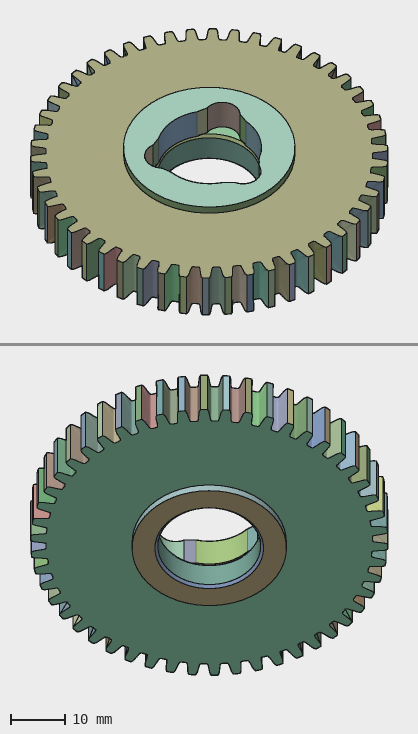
import cadquery as cq
import math

TOOTH_COUNT = 50
TIP_RADIUS = 33.0
PRESSURE_ANGLE = math.radians(14.5)
MODULE = 2 * TIP_RADIUS / (TOOTH_COUNT + 2)
PITCH_RADIUS = MODULE * TOOTH_COUNT / 2
BASE_RADIUS = PITCH_RADIUS * math.cos(PRESSURE_ANGLE)
ROOT_RADIUS = PITCH_RADIUS - 1.25 * MODULE
ROOT_FILLET = 0.4
TOOTH_PITCH = 2 * math.pi / TOOTH_COUNT

FACE_WIDTH = 9.5
HUB_HEIGHT = 1.6
TOP_Z = FACE_WIDTH / 2 + HUB_HEIGHT
BOTTOM_Z = -TOP_Z

HUB_RADIUS = 15.85
BUSH_RADIUS = 14.25
BUSH_BORE_RADIUS = 9.5
BUSH_CHAMFER = 0.5

LOBED_BORE_RADIUS = 9.65
LOBE_COUNT = 3
LOBE_REACH = 12.2
LOBE_TIP_RADIUS = 3.3
LOBE_TIP_WIDTH = 6.3
LOBE_MOUTH_ANGLE = math.radians(58)


def polar(radius, angle):
    """Point at an angle measured clockwise from +Y."""
    return radius * math.sin(angle), radius * math.cos(angle)


def involute_angle(radius):
    """Angle that the involute has swept from the base circle out to the given radius."""
    pressure = math.acos(BASE_RADIUS / radius)
    return math.tan(pressure) - pressure


def tooth_half_angle(radius):
    """Half the angle that a tooth takes up at the given radius."""
    return TOOTH_PITCH / 4 + involute_angle(PITCH_RADIUS) - involute_angle(radius)


def gap_flank():
    """Radius and angle from the tooth middle, for points down one flank to the root fillet."""
    mid_radius = (BASE_RADIUS + TIP_RADIUS) / 2
    base_half = tooth_half_angle(BASE_RADIUS)

    centre_radius = ROOT_RADIUS + ROOT_FILLET
    fillet_angle = math.asin(ROOT_FILLET / centre_radius)
    diagonal = ROOT_FILLET * math.sqrt(0.5)
    return [
        (TIP_RADIUS, tooth_half_angle(TIP_RADIUS)),
        (mid_radius, tooth_half_angle(mid_radius)),
        (centre_radius * math.cos(fillet_angle), base_half),
        (centre_radius - diagonal, base_half + fillet_angle - diagonal / centre_radius),
    ]


def gear_blank():
    """Toothed disc: each tooth tip is an arc and each gap is one smooth curve."""
    flank = gap_flank()
    tip_half = tooth_half_angle(TIP_RADIUS)

    outline = cq.Workplane("XY").workplane(offset=-FACE_WIDTH / 2).moveTo(*polar(TIP_RADIUS, -tip_half))
    for index in range(TOOTH_COUNT):
        tooth = index * TOOTH_PITCH
        next_tooth = tooth + TOOTH_PITCH
        going_in = [polar(radius, tooth + angle) for radius, angle in flank]
        root = polar(ROOT_RADIUS, (tooth + next_tooth) / 2)
        coming_out = [polar(radius, next_tooth - angle) for radius, angle in reversed(flank)]
        outline = outline.threePointArc(polar(TIP_RADIUS, tooth), going_in[0])
        outline = outline.spline(going_in[1:] + [root] + coming_out, includeCurrent=True)
    return outline.close().extrude(FACE_WIDTH)


def lobe():
    """Cutter for the lobe that points along +Y, from z = 0 to the top."""
    tip_centre_y = LOBE_REACH - LOBE_TIP_RADIUS
    shoulder_x = LOBE_TIP_WIDTH / 2
    shoulder_y = tip_centre_y + math.sqrt(LOBE_TIP_RADIUS**2 - shoulder_x**2)
    foot_x, foot_y = polar(LOBED_BORE_RADIUS, LOBE_MOUTH_ANGLE / 2)
    return (
        cq.Workplane("XY")
        .moveTo(-foot_x, foot_y)
        .lineTo(-shoulder_x, shoulder_y)
        .threePointArc((0, LOBE_REACH), (shoulder_x, shoulder_y))
        .lineTo(foot_x, foot_y)
        .lineTo(0, 0)
        .close()
        .extrude(TOP_Z)
    )


def make_gear():
    """Gear with a hub on top, a lobed bore in its upper half and a bush seat below it."""
    hub = cq.Workplane("XY").circle(HUB_RADIUS).extrude(TOP_Z)
    bush_seat = cq.Workplane("XY").circle(BUSH_RADIUS).extrude(BOTTOM_Z)
    round_bore = cq.Workplane("XY").circle(LOBED_BORE_RADIUS).extrude(TOP_Z)
    gear = gear_blank().union(hub).cut(bush_seat).cut(round_bore)
    for index in range(LOBE_COUNT):
        gear = gear.cut(lobe().rotate((0, 0, 0), (0, 0, 1), index * 360 / LOBE_COUNT))
    return gear


def make_bush():
    """Plain bush that fills the seat and stands out below; its bore is chamfered at both ends."""
    return (
        cq.Workplane("XY")
        .circle(BUSH_RADIUS)
        .circle(BUSH_BORE_RADIUS)
        .extrude(BOTTOM_Z)
        .edges(cq.selectors.RadiusNthSelector(0))
        .chamfer(BUSH_CHAMFER)
    )


gear = make_gear()
bush = make_bush()
result = cq.Compound.makeCompound([gear.val(), bush.val()])